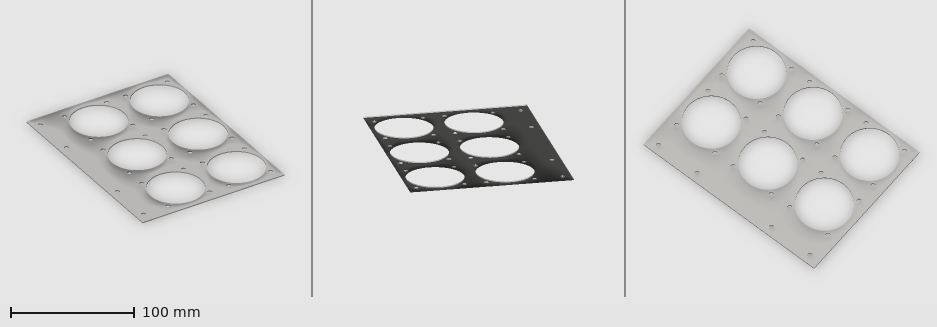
import cadquery as cq

length = 177.5
width = 135.0
thickness = 1.0

opening_diameter = 48.0
screw_diameter = 4.0
screw_spacing = 40.0
column_pitch = 58.8
row_pitch = 57.9
screw_edge_margin = 7.1

column_centers = [-column_pitch, 0, column_pitch]
outer_columns = [column_centers[0], column_centers[-1]]
upper_row = width / 2 - screw_edge_margin - screw_spacing / 2
row_centers = [upper_row, upper_row - row_pitch]
bottom_screw_row = -width / 2 + screw_edge_margin

half_spacing = screw_spacing / 2
opening_points = [(x, y) for x in column_centers for y in row_centers]

corner_screws = [
    (x + side_x * half_spacing, y + side_y * half_spacing)
    for x, y in opening_points
    for side_x in (-1, 1)
    for side_y in (-1, 1)
]

bottom_screws = [
    (x + side * half_spacing, bottom_screw_row)
    for x in outer_columns
    for side in (-1, 1)
]


def drill(plate, points, diameter):
    """Cut through holes of one diameter at the given points."""
    return plate.faces(">Z").workplane(origin=(0, 0, 0)).pushPoints(points).hole(diameter)


result = cq.Workplane("XY").box(length, width, thickness)
result = drill(result, opening_points, opening_diameter)
result = drill(result, corner_screws + bottom_screws, screw_diameter)